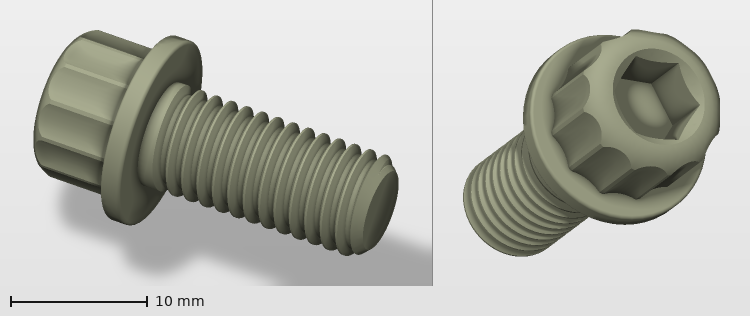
import cadquery as cq
import math

TOTAL_LENGTH = 26.2

HEAD_LENGTH = 6.8
HEAD_RADIUS = 5.65
VALLEY_RADIUS = 5.25
LOBE_COUNT = 12
LAND_WIDTH = 0.31
CROWN_RADIUS = 2.1

SOCKET_ACROSS_FLATS = 6.0
SOCKET_MOUTH_RADIUS = 3.72
SOCKET_DEPTH = 5.0
MOUTH_CONE_DEPTH = 1.05
MOUTH_CONE_END_RADIUS = SOCKET_MOUTH_RADIUS - MOUTH_CONE_DEPTH

FLANGE_RADIUS = 14.28 / 2
FLANGE_THICKNESS = 1.57
FLANGE_EDGE_RADIUS = 0.24

THREAD_RADIUS = 8.0 / 2
ROOT_RADIUS = 3.38
THREAD_LENGTH = 16.87
THREAD_TURNS = 13.5
PITCH = THREAD_LENGTH / THREAD_TURNS
CREST_WIDTH = PITCH / 8
FLANK_ANGLE = math.radians(30)
THREAD_START = 9.2
TIP_RADIUS = 3.05
TRIM_CLEARANCE = 0.52
CUTTER_OVERLAP = 0.08


def polar(radius, angle):
    return (radius * math.cos(angle), radius * math.sin(angle))


def x_cylinder(start, length, radius):
    return cq.Workplane("YZ", origin=(start, 0, 0)).circle(radius).extrude(length)


def make_head():
    """Twelve narrow lands joined by concave arcs, with a rounded front crown."""
    lobe_step = 2 * math.pi / LOBE_COUNT
    half_land = math.asin(LAND_WIDTH / 2 / HEAD_RADIUS)
    outline = cq.Workplane("YZ").moveTo(*polar(HEAD_RADIUS, half_land - lobe_step / 2))
    for lobe in range(LOBE_COUNT):
        valley = lobe * lobe_step
        land = valley + lobe_step / 2
        outline = outline.threePointArc(
            polar(VALLEY_RADIUS, valley), polar(HEAD_RADIUS, land - half_land)
        )
        outline = outline.threePointArc(
            polar(HEAD_RADIUS, land), polar(HEAD_RADIUS, land + half_land)
        )
    prism = outline.close().extrude(HEAD_LENGTH)

    crown_end = SOCKET_MOUTH_RADIUS + CROWN_RADIUS
    crown_middle = CROWN_RADIUS * math.sqrt(0.5)
    envelope = (
        cq.Workplane("XY")
        .lineTo(0, SOCKET_MOUTH_RADIUS)
        .threePointArc(
            (CROWN_RADIUS - crown_middle, SOCKET_MOUTH_RADIUS + crown_middle),
            (CROWN_RADIUS, crown_end),
        )
        .lineTo(HEAD_LENGTH, crown_end)
        .lineTo(HEAD_LENGTH, 0)
        .close()
        .revolve(360, (0, 0, 0), (1, 0, 0))
    )
    return prism.intersect(envelope)


def make_socket():
    """Hexagonal recess with corners on +Y and -Y and a conical mouth."""
    across_corners = SOCKET_ACROSS_FLATS / math.cos(math.pi / 6)
    hexagon = cq.Workplane("YZ").polygon(6, across_corners).extrude(SOCKET_DEPTH)
    mouth = (
        cq.Workplane("XY")
        .polyline([
            (0, 0),
            (0, SOCKET_MOUTH_RADIUS),
            (MOUTH_CONE_DEPTH, MOUTH_CONE_END_RADIUS),
            (MOUTH_CONE_DEPTH, 0),
        ])
        .close()
        .revolve(360, (0, 0, 0), (1, 0, 0))
    )
    return hexagon.union(mouth)


def make_flange():
    return x_cylinder(HEAD_LENGTH, FLANGE_THICKNESS, FLANGE_RADIUS).edges().fillet(FLANGE_EDGE_RADIUS)


def make_thread_groove():
    """Right-handed trapezoidal groove, wound about Z and then turned onto X."""
    cutter_radius = THREAD_RADIUS + CUTTER_OVERLAP
    groove_half_width = (PITCH - CREST_WIDTH) / 2
    outer_half = groove_half_width + CUTTER_OVERLAP * math.tan(FLANK_ANGLE)
    root_half = groove_half_width - (THREAD_RADIUS - ROOT_RADIUS) * math.tan(FLANK_ANGLE)
    helix = cq.Wire.makeHelix(PITCH, THREAD_LENGTH, ROOT_RADIUS)
    groove = (
        cq.Workplane("XZ")
        .polyline([
            (ROOT_RADIUS, -root_half),
            (cutter_radius, -outer_half),
            (cutter_radius, outer_half),
            (ROOT_RADIUS, root_half),
        ])
        .close()
        .sweep(cq.Workplane(helix), isFrenet=True)
    )
    groove = groove.rotate((0, 0, 0), (1, 1, 1), 120)
    return groove.rotate((0, 0, 0), (1, 0, 0), -90).translate((THREAD_START, 0, 0))


def make_shank():
    """Threaded cylinder trimmed by a 45 degree chamfer at its free end."""
    shank_length = TOTAL_LENGTH - HEAD_LENGTH
    threaded = x_cylinder(HEAD_LENGTH, shank_length, THREAD_RADIUS).cut(make_thread_groove())
    trim_radius = THREAD_RADIUS + TRIM_CLEARANCE
    trim = x_cylinder(HEAD_LENGTH, shank_length, trim_radius)
    trim = trim.faces(">X").chamfer(trim_radius - TIP_RADIUS)
    return threaded.intersect(trim)


result = make_shank().union(make_flange()).union(make_head()).cut(make_socket())